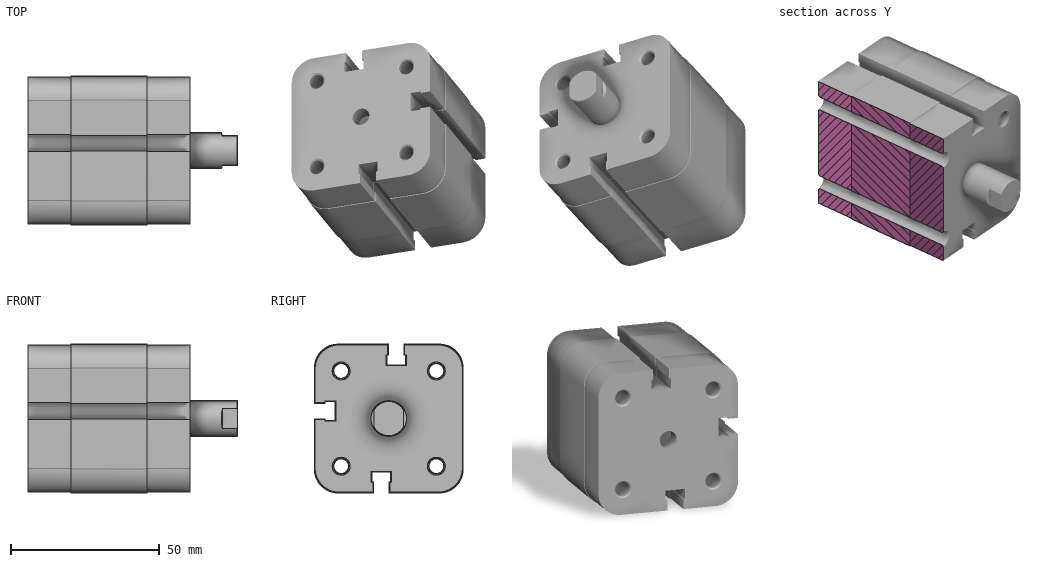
import cadquery as cq
import math

cap_length = 14.5
tube_length = 25.5
rod_length = 16.0
body_length = 2 * cap_length + tube_length
total_length = body_length + rod_length
rear_face_x = -total_length / 2
tube_start_x = rear_face_x + cap_length
front_cap_start_x = tube_start_x + tube_length
rod_start_x = front_cap_start_x + cap_length

tube_width = 50.0
cap_inset = 0.25
cap_width = tube_width - 2 * cap_inset
corner_radius = 8.0

slot_offset = 2.5
slot_mouth_width = 5.2
slot_base_width = 6.3
slot_shoulder_depth = 3.65
slot_depth = 7.0
slot_angles = (0, 90, 180)

mount_spacing = 32.0
mount_diameter = 5.0
mount_mouth_diameter = 6.0
mount_chamfer = (mount_mouth_diameter - mount_diameter) / 2

centring_diameter = 6.0
centring_depth = 6.0

rod_diameter = 12.0
rod_flat_width = 10.0
rod_flat_length = 5.1
rod_flat_runout_angle = 22.0
rod_chamfer = 0.25


def section_plane(x):
    """Plane across the axis at x, with local x along Y and local y along Z."""
    return cq.Workplane("YZ", origin=(x, 0, 0))


def slot_cutter(x, length, inset):
    """T-slot opening to +Z; a section inset all round has a slot wider and deeper by the inset."""
    half_mouth = slot_mouth_width / 2 + inset
    half_base = slot_base_width / 2 + inset
    surface = tube_width / 2
    shoulder = surface - slot_shoulder_depth
    floor = surface - slot_depth - inset
    mouth = section_plane(x).center(slot_offset, 0).moveTo(0, (surface + shoulder) / 2)
    mouth = mouth.rect(2 * half_mouth, surface - shoulder).extrude(length)
    base = section_plane(x).center(slot_offset, 0).moveTo(0, (shoulder + floor) / 2)
    base = base.rect(2 * half_base, shoulder - floor).extrude(length)
    return mouth.union(base)


def profile_block(x, length, width, inset):
    """Rounded square block with a T-slot on each slotted side and four through holes."""
    block = section_plane(x).rect(width, width).extrude(length)
    block = block.edges("|X").fillet(corner_radius)
    cutter = slot_cutter(x, length, inset)
    for angle in slot_angles:
        block = block.cut(cutter.rotate((0, 0, 0), (1, 0, 0), angle))
    holes = section_plane(x).rect(mount_spacing, mount_spacing, forConstruction=True).vertices()
    return block.cut(holes.circle(mount_diameter / 2).extrude(length))


def mount_mouths(face_x, inward):
    """Chamfer cones at the mouths of the four mounting holes; inward is the X direction into the cap."""
    cone = cq.Solid.makeCone(
        mount_mouth_diameter / 2, mount_diameter / 2, mount_chamfer,
        pnt=cq.Vector(0, 0, 0), dir=cq.Vector(inward, 0, 0),
    )
    half = mount_spacing / 2
    spots = [(face_x, y, z) for y in (-half, half) for z in (-half, half)]
    return cq.Workplane("XY").pushPoints(spots).eachpoint(lambda place: cone.moved(place), combine=False)


def make_cap(x, outer_face_x, inward):
    cap = profile_block(x, cap_length, cap_width, cap_inset)
    return cap.cut(mount_mouths(outer_face_x, inward))


def make_rod():
    rod = section_plane(rod_start_x).circle(rod_diameter / 2).extrude(rod_length)
    rod = rod.faces(">X").chamfer(rod_chamfer)
    tip_x = rod_start_x + rod_length
    flat_start_x = tip_x - rod_flat_length
    flat_y = rod_flat_width / 2
    surface_y = rod_diameter / 2
    runout_start_x = flat_start_x - (surface_y - flat_y) * math.tan(math.radians(rod_flat_runout_angle))
    outline = [(flat_start_x, flat_y), (tip_x, flat_y), (tip_x, surface_y), (runout_start_x, surface_y)]
    flat = cq.Workplane("XY").polyline(outline).close().extrude(rod_diameter / 2, both=True)
    for angle in (0, 180):
        rod = rod.cut(flat.rotate((0, 0, 0), (1, 0, 0), angle))
    return rod


rear_cap = make_cap(rear_face_x, rear_face_x, 1)
centring_hole = section_plane(rear_face_x).circle(centring_diameter / 2).extrude(centring_depth)
rear_cap = rear_cap.cut(centring_hole)

tube = profile_block(tube_start_x, tube_length, tube_width, 0)

front_cap = make_cap(front_cap_start_x, rod_start_x, -1)

piston_rod = make_rod()

result = cq.Compound.makeCompound([rear_cap.val(), tube.val(), front_cap.val(), piston_rod.val()])